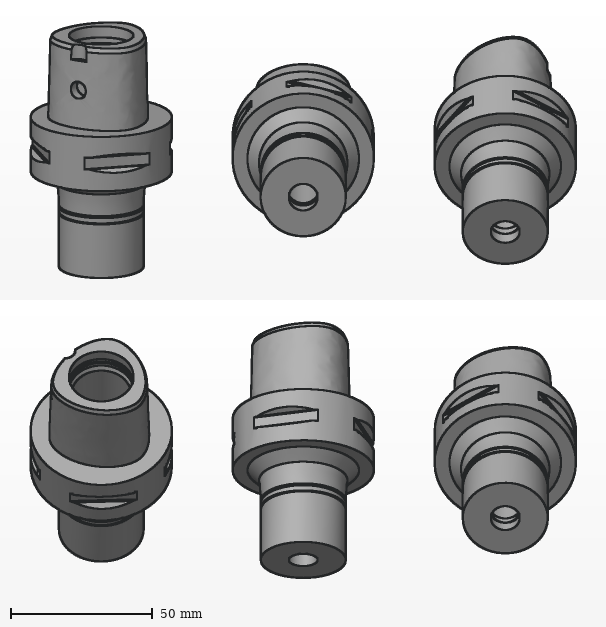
import cadquery as cq
import math

total_height = 85.0

nut_radius = 15.05
nut_height = 22.1
nut_floor = 5.1
nut_hole_radius = 5.1
nut_hole_chamfer = 0.3
nut_groove_z = 20.0
nut_groove_width = 0.3
nut_groove_depth = 0.2

neck_radius = 11.6
skirt_bottom_radius = 15.05
skirt_top_radius = 15.6
skirt_bottom_z = 22.9
skirt_top_z = 31.0
cone_top_radius = 19.7

flange_radius = 25.0
flange_height = 20.0
shank_height = 30.0
flange_top_z = total_height - shank_height
flange_bottom_z = flange_top_z - flange_height

groove_count = 4
groove_floor_distance = 22.0
groove_step_distance = 22.8
groove_floor_height = 4.25
groove_mouth_height = 6.8
groove_z = flange_top_z - flange_height / 2

lobe_height = 1.1
shank_base_radius = 17.7
shank_taper = 1 / 40
shank_chamfer_height = 1.7
shank_chamfer_width = 0.7
shank_points = 48

notch_radius = 3.5
notch_depth_y = 13.85
notch_height = 5.3
pocket_radius = 3.1
pocket_z = total_height - 16.1
pocket_floor_y = 11.7

mouth_radius = 11.4
recess_radius = 12.0
recess_top_z = total_height - 4.2
recess_bottom_z = total_height - 6.3
bore_cone_top_z = total_height - 7.8
bore_cone_bottom_z = total_height - 9.5
bore_radius = 10.45
bore_floor_z = flange_bottom_z
collet_bore_radius = 7.2
collet_bore_floor_height = 3.4
collet_bore_floor_z = nut_floor + collet_bore_floor_height
body_hole_radius = 5.9


def lobed_wire(mean_radius, z):
    """Closed three-lobed curve with one lobe pointing to +Y."""
    points = []
    for i in range(shank_points):
        a = 2 * math.pi * i / shank_points
        along = mean_radius * math.cos(a) - lobe_height * (2 * math.cos(2 * a) - math.cos(4 * a))
        across = mean_radius * math.sin(a) + lobe_height * (2 * math.sin(2 * a) + math.sin(4 * a))
        points.append(cq.Vector(across, -along, z))
    return cq.Wire.assembleEdges([cq.Edge.makeSpline(points, periodic=True)])


def make_shank():
    chamfer_z = total_height - shank_chamfer_height
    chamfer_radius = shank_base_radius - (chamfer_z - flange_top_z) * shank_taper
    base = lobed_wire(shank_base_radius, flange_top_z)
    shoulder = lobed_wire(chamfer_radius, chamfer_z)
    end = lobed_wire(chamfer_radius - shank_chamfer_width, total_height)
    taper = cq.Solid.makeLoft([base, shoulder], True)
    chamfer = cq.Solid.makeLoft([shoulder, end], True)
    return cq.Workplane(taper).union(cq.Workplane(chamfer))


def make_turned_body():
    """Neck, concave skirt, cone and flange."""
    skirt_middle_z = (skirt_bottom_z + skirt_top_z) / 2
    skirt_middle_radius = skirt_bottom_radius + (skirt_top_radius - skirt_bottom_radius) / 4
    return (
        cq.Workplane("XZ")
        .moveTo(0, nut_floor)
        .lineTo(neck_radius, nut_floor)
        .lineTo(neck_radius, skirt_bottom_z)
        .lineTo(skirt_bottom_radius, skirt_bottom_z)
        .threePointArc((skirt_middle_radius, skirt_middle_z), (skirt_top_radius, skirt_top_z))
        .lineTo(cone_top_radius, flange_bottom_z)
        .lineTo(flange_radius, flange_bottom_z)
        .lineTo(flange_radius, flange_top_z)
        .lineTo(0, flange_top_z)
        .close()
        .revolve(360, (0, 0, 0), (0, 1, 0))
    )


def make_bore():
    profile = [
        (0, nut_floor),
        (body_hole_radius, nut_floor),
        (body_hole_radius, collet_bore_floor_z),
        (collet_bore_radius, collet_bore_floor_z),
        (collet_bore_radius, bore_floor_z),
        (bore_radius, bore_floor_z),
        (bore_radius, bore_cone_bottom_z),
        (mouth_radius, bore_cone_top_z),
        (mouth_radius, recess_bottom_z),
        (recess_radius, recess_bottom_z),
        (recess_radius, recess_top_z),
        (mouth_radius, recess_top_z),
        (mouth_radius, total_height),
        (0, total_height),
    ]
    return cq.Workplane("XZ").polyline(profile).close().revolve(360, (0, 0, 0), (0, 1, 0))


def make_flange_groove(angle):
    """Straight groove with level sides that flare towards the rim, cut across the flange at the given angle."""
    floor_half = groove_floor_height / 2
    mouth_half = groove_mouth_height / 2
    profile = [
        (groove_floor_distance, groove_z - floor_half),
        (groove_step_distance, groove_z - floor_half),
        (flange_radius, groove_z - mouth_half),
        (flange_radius, groove_z + mouth_half),
        (groove_step_distance, groove_z + floor_half),
        (groove_floor_distance, groove_z + floor_half),
    ]
    groove = cq.Workplane("XZ").polyline(profile).close().extrude(flange_radius, both=True)
    return groove.rotate((0, 0, 0), (0, 0, 1), angle)


def make_notch():
    return (
        cq.Workplane("XY", origin=(0, -notch_depth_y - notch_radius, total_height - notch_height))
        .circle(notch_radius)
        .extrude(notch_height)
    )


def make_pocket():
    return (
        cq.Workplane("XZ", origin=(0, -pocket_floor_y, pocket_z))
        .circle(pocket_radius)
        .extrude(flange_radius - pocket_floor_y)
    )


def make_holder():
    holder = make_turned_body().union(make_shank()).cut(make_bore())
    for i in range(groove_count):
        holder = holder.cut(make_flange_groove((i + 0.5) * 360 / groove_count))
    return holder.cut(make_notch()).cut(make_pocket())


def make_nut():
    nut = cq.Workplane("XY").circle(nut_radius).extrude(nut_height)
    neck_socket = (
        cq.Workplane("XY", origin=(0, 0, nut_floor))
        .circle(neck_radius)
        .extrude(nut_height - nut_floor)
    )
    hole = cq.Workplane("XY").circle(nut_hole_radius).extrude(nut_floor)
    groove = (
        cq.Workplane("XY", origin=(0, 0, nut_groove_z - nut_groove_width / 2))
        .circle(nut_radius)
        .circle(nut_radius - nut_groove_depth)
        .extrude(nut_groove_width)
    )
    nut = nut.cut(neck_socket).cut(hole).cut(groove)
    hole_rim = cq.selectors.RadiusNthSelector(0)
    return nut.faces("%PLANE").faces(">Z[1]").edges(hole_rim).chamfer(nut_hole_chamfer)


holder = make_holder()
nut = make_nut()

result = cq.Compound.makeCompound([holder.val(), nut.val()])